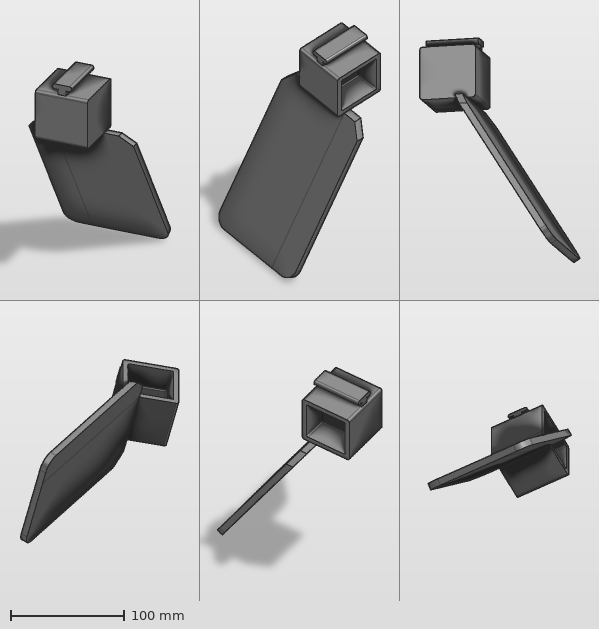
import cadquery as cq
import math

box_length = 50.7
box_depth = 50.9
box_height = 47.7
box_corner_radius = 2.5
wall = 4.8
pocket_radius = 1.5
pocket_draft = 3.0
pocket_length = 22.5

rail_length = 47.7
rail_height = 9.7
rail_head_width = 18.6
rail_head_height = 5.0
rail_stem_width = 8.0
rail_head_radius = 2.2

plate_width = 101.5
plate_thickness = 6.1
plate_tilt = 32.0
plate_drop = 140.6
plate_front_y = 10.3
plate_top_chamfer = 11.3
plate_bottom_radius = 12.9
wing_width = 25.3
wing_bend = 0.5


def make_box():
    """Rounded box with a blind drafted pocket in its -X end."""
    body = cq.Workplane("XY").box(box_length, box_depth, box_height, centered=(True, True, False))
    body = body.edges("|X").fillet(box_corner_radius)
    pocket = (
        cq.Workplane("YZ", origin=(-box_length / 2, 0, box_height / 2))
        .rect(box_depth - 2 * wall, box_height - 2 * wall)
        .extrude(pocket_length, taper=pocket_draft)
        .edges("not <X")
        .fillet(pocket_radius)
    )
    return body.cut(pocket)


def make_rail():
    """T-section rail with its stem sunk into the box so it also meets the rounded edges."""
    head = (
        cq.Workplane("XY")
        .box(rail_head_width, rail_length, rail_head_height, centered=(True, True, False))
        .edges("|Y")
        .fillet(rail_head_radius)
        .translate((0, 0, box_height + rail_height - rail_head_height))
    )
    stem_height = rail_height - rail_head_height + box_corner_radius
    stem = (
        cq.Workplane("XY")
        .box(rail_stem_width, rail_length, stem_height, centered=(True, True, False))
        .translate((0, 0, box_height - box_corner_radius))
    )
    return head.union(stem)


def make_plate():
    """Bent sheet with a rounded lower end, trimmed level at the top with two cut corners."""
    slant_length = plate_drop / math.cos(math.radians(plate_tilt))
    wing_offset = wing_width * math.tan(math.radians(wing_bend))
    half_width = plate_width / 2
    bend_x = wing_width - half_width

    section = [
        (-half_width, -wing_offset),
        (bend_x, 0),
        (half_width, 0),
        (half_width, -plate_thickness),
        (bend_x, -plate_thickness),
        (-half_width, -plate_thickness - wing_offset),
    ]
    sheet = cq.Workplane("XZ").polyline(section).close().extrude(slant_length)
    rounded_end = (
        cq.Workplane("XY")
        .rect(plate_width, 2 * slant_length)
        .extrude(-plate_thickness - wing_offset)
        .edges("|Z and <Y")
        .fillet(plate_bottom_radius)
    )
    sheet = sheet.intersect(rounded_end)
    plate = sheet.rotate((0, 0, 0), (1, 0, 0), 90 + plate_tilt).translate((0, plate_front_y, 0))

    trim_outline = [
        (-half_width, -plate_drop),
        (-half_width, -plate_top_chamfer),
        (-half_width + plate_top_chamfer, 0),
        (half_width - plate_top_chamfer, 0),
        (half_width, -plate_top_chamfer),
        (half_width, -plate_drop),
    ]
    trim = cq.Workplane("XZ").polyline(trim_outline).close().extrude(plate_drop, both=True)
    return plate.intersect(trim)


result = make_box().union(make_rail()).union(make_plate())